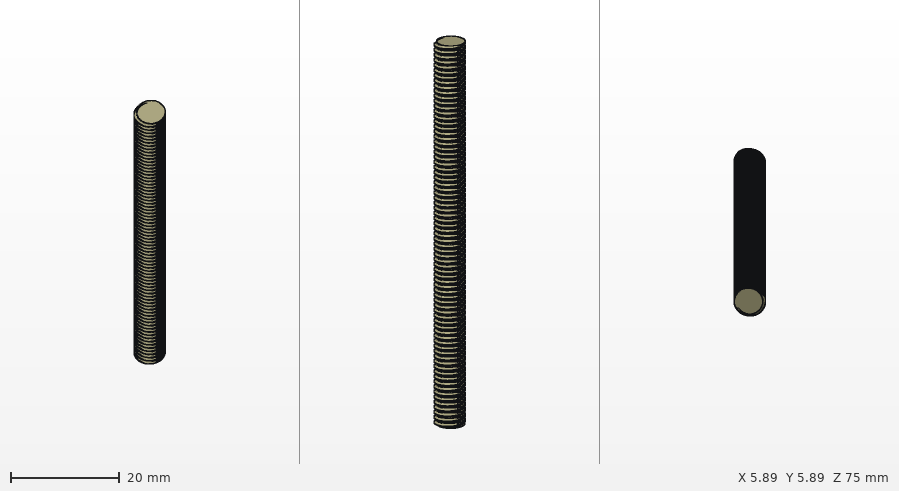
import cadquery as cq
import math

length = 75.0
pitch = 1.0
major_diameter = 5.886
minor_diameter = 4.74
flank_angle = 30.0
crest_width = pitch / 8
crest_direction = 90.0

major_radius = major_diameter / 2
minor_radius = minor_diameter / 2
flank_width = (major_radius - minor_radius) * math.tan(math.radians(flank_angle))

full_turn = 360.0
degrees_per_mm = full_turn / pitch
half_crest_angle = crest_width / 2 * degrees_per_mm
flank_turn = flank_width * degrees_per_mm
flank_points = 8


def polar_point(radius, angle_from_crest):
    """Point in the cross-section, its angle in degrees from the crest middle."""
    angle = math.radians(crest_direction + angle_from_crest)
    return (radius * math.cos(angle), radius * math.sin(angle))


def flank_curve(side):
    """Spiral from crest to root; side is 1 for the anticlockwise flank, -1 for the other."""
    points = []
    for index in range(flank_points):
        fraction = index / (flank_points - 1)
        radius = major_radius + fraction * (minor_radius - major_radius)
        angle = half_crest_angle + fraction * flank_turn
        points.append(polar_point(radius, side * angle))
    return points


def thread_section():
    """Slice square to the axis: crest arc, two spiral flanks and root arc."""
    leading_flank = flank_curve(1)
    trailing_flank = flank_curve(-1)
    return (
        cq.Workplane("XY")
        .moveTo(*trailing_flank[0])
        .threePointArc(polar_point(major_radius, 0), leading_flank[0])
        .spline(leading_flank[1:], includeCurrent=True)
        .threePointArc(polar_point(minor_radius, full_turn / 2), trailing_flank[-1])
        .spline(trailing_flank[-2::-1], includeCurrent=True)
        .close()
    )


def threaded_rod():
    """Stack one-turn lengths of thread surface and close them with the two end faces."""
    one_turn = thread_section().twistExtrude(pitch, full_turn)
    side_faces = one_turn.faces("not %PLANE").vals()
    bottom_face = one_turn.faces("%PLANE").faces("<Z").val()

    skin = [bottom_face, bottom_face.translate(cq.Vector(0, 0, length))]
    turns = round(length / pitch)
    for turn in range(turns):
        rise = cq.Vector(0, 0, turn * pitch)
        for face in side_faces:
            skin.append(face.translate(rise))
    return cq.Solid.makeSolid(cq.Shell.makeShell(skin))


result = cq.Workplane("XY").newObject([threaded_rod()])